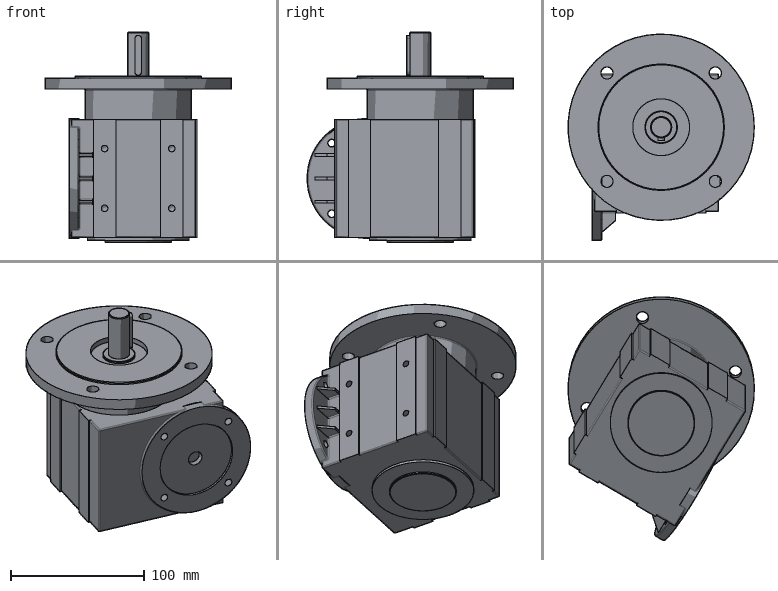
import cadquery as cq
import math


housing_left = -50.1
housing_right = 43.1
housing_front = -63.4
housing_back = 40.0
housing_half_height = 44.4
housing_edge_radius = 1.0

strip_width = 16.7
strip_spacing = 50.4
strip_height = 1.1
right_strip_outset = 9.3
mount_hole_diameter = 4.9
mount_hole_depth = 9.5
mount_hole_spacing = 44.9
drill_point_angle = 118.0

side_flange_y = -40.0
side_flange_diameter = 90.0
side_flange_face = -51.8
side_flange_thickness = 7.3
side_flange_fillet = 1.0
side_recess_diameter = 60.0
side_recess_depth = 2.0
side_bore_diameter = 11.0
side_bore_depth = 4.7
side_hole_diameter = 5.5
side_hole_circle = 75.0
side_hole_depth = 12.6

rib_thickness = 2.0
rib_spacing = 17.5
rib_right = -34.1
rib_reach = 70.0
rib_tip_reach = 79.0
rib_foot_radius = 1.0

cover_diameter = 76.5
cover_height = 2.0
boss_diameter = 50.2
boss_height = 1.6
boss_chamfer = 0.5

neck_diameter = 79.8
neck_fillet = 0.8
top_flange_diameter = 140.0
top_flange_bottom = 67.0
top_flange_thickness = 8.4
top_flange_hole_diameter = 9.0
top_flange_hole_circle = 115.0
pilot_diameter = 95.0
pilot_height = 1.7
pilot_chamfer = 0.6
pilot_recess_diameter = 42.7
pilot_recess_depth = 4.1
collar_diameter = 24.3
collar_height = 1.6
collar_chamfer = 0.5

overall_height = 158.0
shaft_diameter = 16.0
shaft_chamfer = 0.6
key_width = 4.9
key_length = 30.0
key_top_gap = 2.5
key_reach = 10.1

tolerance = 0.02

overlap = 1.6

side_flange_back = side_flange_face + side_flange_thickness
rib_root_x = side_flange_face + overlap
rib_root_y = housing_front + overlap
cover_bottom = -housing_half_height - cover_height
boss_bottom = cover_bottom - boss_height
shaft_top = boss_bottom + overall_height
top_flange_top = top_flange_bottom + top_flange_thickness
pilot_top = top_flange_top + pilot_height
recess_floor = pilot_top - pilot_recess_depth


def block(x_min, x_max, y_min, y_max, half_height):
    """Box between the given sides, centred on Z = 0."""
    return cq.Workplane("XY").box(
        x_max - x_min, y_max - y_min, 2 * half_height, centered=(False, False, True)
    ).translate((x_min, y_min, 0))


def disc(diameter, bottom, top):
    """Cylinder on the vertical axis."""
    return cq.Workplane("XY").workplane(offset=bottom).circle(diameter / 2).extrude(top - bottom)


def side_cylinder(diameter, depth):
    """Cylinder on the side flange axis, running from the flange face toward +X."""
    return (
        cq.Workplane("YZ", origin=(side_flange_face, side_flange_y, 0))
        .circle(diameter / 2).extrude(depth)
    )


def drill(diameter, depth):
    """Blind drill shape with a conical end, running from the origin toward +X."""
    radius = diameter / 2
    tip = depth + radius / math.tan(math.radians(drill_point_angle / 2))
    profile = [(0, 0), (0, radius), (depth, radius), (tip, 0)]
    return cq.Workplane("XY").polyline(profile).close().revolve(360, (0, 0, 0), (1, 0, 0))


def is_flange_joint(edge):
    """True for the inner corners where the flange rim and back meet the housing sides."""
    middle = edge.positionAt(0.5)
    rim_distance = math.hypot(middle.y - side_flange_y, middle.z) - side_flange_diameter / 2
    on_rim = abs(rim_distance) < tolerance and middle.x > housing_left - tolerance
    on_side = abs(middle.z) < housing_half_height - housing_edge_radius
    on_back = abs(middle.x - side_flange_back) < tolerance
    on_front = abs(middle.y - housing_front) < tolerance
    return (on_rim and on_side) or (on_back and on_front)


def make_housing():
    """Housing block with the side flange blended into it."""
    housing = block(housing_left, housing_right, housing_front, housing_back, housing_half_height)
    housing = housing.edges().fillet(housing_edge_radius)
    flange = side_cylinder(side_flange_diameter, side_flange_thickness)
    housing = housing.union(flange)
    joints = [edge for edge in housing.edges().vals() if is_flange_joint(edge)]
    return housing.newObject(joints).fillet(side_flange_fillet)


def add_strips(body):
    """Raised strips of full height on the front, back and right faces."""
    for x in (-strip_spacing / 2, strip_spacing / 2):
        body = body.union(block(
            x - strip_width / 2, x + strip_width / 2,
            housing_front - strip_height, housing_back + strip_height, housing_half_height,
        ))
    first_strip = housing_front + right_strip_outset
    last_strip = housing_back - right_strip_outset - strip_width
    for y in (first_strip, last_strip):
        body = body.union(block(
            0, housing_right + strip_height, y, y + strip_width, housing_half_height
        ))
    return body


def make_rib():
    """Triangular rib behind the side flange with rounded feet on the housing front."""
    half = rib_thickness / 2
    web = (
        cq.Workplane("XY").workplane(offset=-half)
        .moveTo(rib_root_x, rib_root_y)
        .lineTo(rib_right, rib_root_y)
        .lineTo(rib_right, -rib_reach)
        .lineTo(side_flange_back, -rib_tip_reach)
        .lineTo(rib_root_x, -rib_tip_reach)
        .close().extrude(rib_thickness)
    )
    foot_end = half + rib_foot_radius
    foot_top = housing_front - rib_foot_radius
    arc_drop = rib_foot_radius * (1 - math.sqrt(0.5))
    arc_y = housing_front - arc_drop
    foot = (
        cq.Workplane("YZ", origin=(rib_root_x, 0, 0))
        .moveTo(housing_front, foot_end)
        .threePointArc((arc_y, half + arc_drop), (foot_top, half))
        .lineTo(foot_top, -half)
        .threePointArc((arc_y, -half - arc_drop), (housing_front, -foot_end))
        .lineTo(rib_root_y, -foot_end)
        .lineTo(rib_root_y, foot_end)
        .close().extrude(rib_right - rib_root_x)
    )
    return web.union(foot)


def add_ribs(body):
    """Three equal ribs, the middle one level with the side flange axis."""
    for z in (-rib_spacing, 0, rib_spacing):
        body = body.union(make_rib().translate((0, 0, z)))
    return body


def cut_mount_holes(body):
    """Blind holes in the front strips."""
    tool = drill(mount_hole_diameter, mount_hole_depth).rotate((0, 0, 0), (0, 0, 1), 90)
    for x in (-strip_spacing / 2, strip_spacing / 2):
        for z in (-mount_hole_spacing / 2, mount_hole_spacing / 2):
            body = body.cut(tool.translate((x, housing_front - strip_height, z)))
    return body


def cut_side_flange(body):
    """Centring recess, bore and bolt holes in the side flange."""
    body = body.cut(side_cylinder(side_recess_diameter, side_recess_depth))
    body = body.cut(side_cylinder(side_bore_diameter, side_recess_depth + side_bore_depth))
    tool = drill(side_hole_diameter, side_hole_depth)
    offset = side_hole_circle / 2 * math.sqrt(0.5)
    for dy in (-offset, offset):
        for z in (-offset, offset):
            body = body.cut(tool.translate((side_flange_face, side_flange_y + dy, z)))
    return body


def make_top():
    """Neck, flange with pilot, recess, collar and bolt holes."""
    pilot = disc(pilot_diameter, top_flange_top, pilot_top).faces(">Z").chamfer(pilot_chamfer)
    collar_top = recess_floor + collar_height
    collar = disc(collar_diameter, recess_floor, collar_top).faces(">Z").chamfer(collar_chamfer)
    hole_side = top_flange_hole_circle * math.sqrt(0.5)
    holes = (
        cq.Workplane("XY").workplane(offset=top_flange_bottom)
        .rect(hole_side, hole_side, forConstruction=True).vertices()
        .circle(top_flange_hole_diameter / 2).extrude(top_flange_thickness)
    )
    neck = disc(neck_diameter, housing_half_height - overlap, top_flange_bottom)
    flange = disc(top_flange_diameter, top_flange_bottom, top_flange_top)
    neck_corner = cq.selectors.RadiusNthSelector(0)
    blank = neck.union(flange).faces("<Z[1]").edges(neck_corner).fillet(neck_fillet)
    return (
        blank
        .union(pilot)
        .cut(disc(pilot_recess_diameter, recess_floor, pilot_top))
        .union(collar)
        .cut(holes)
    )


def make_bottom():
    """Bottom cover with its central boss."""
    boss = disc(boss_diameter, boss_bottom, cover_bottom).faces("<Z").chamfer(boss_chamfer)
    return disc(cover_diameter, cover_bottom, overlap - housing_half_height).union(boss)


def make_shaft():
    """Shaft with a round-ended key on its front side."""
    shaft = disc(shaft_diameter, recess_floor - overlap, shaft_top).faces(">Z").chamfer(shaft_chamfer)
    key_center = shaft_top - key_top_gap - key_length / 2
    key = (
        cq.Workplane("XZ", origin=(0, 0, key_center))
        .slot2D(key_length, key_width, 90).extrude(key_reach)
    )
    return shaft.union(key)


housing = cut_mount_holes(add_ribs(add_strips(make_housing())))
housing = cut_side_flange(housing)
result = housing.union(make_top()).union(make_bottom()).union(make_shaft())